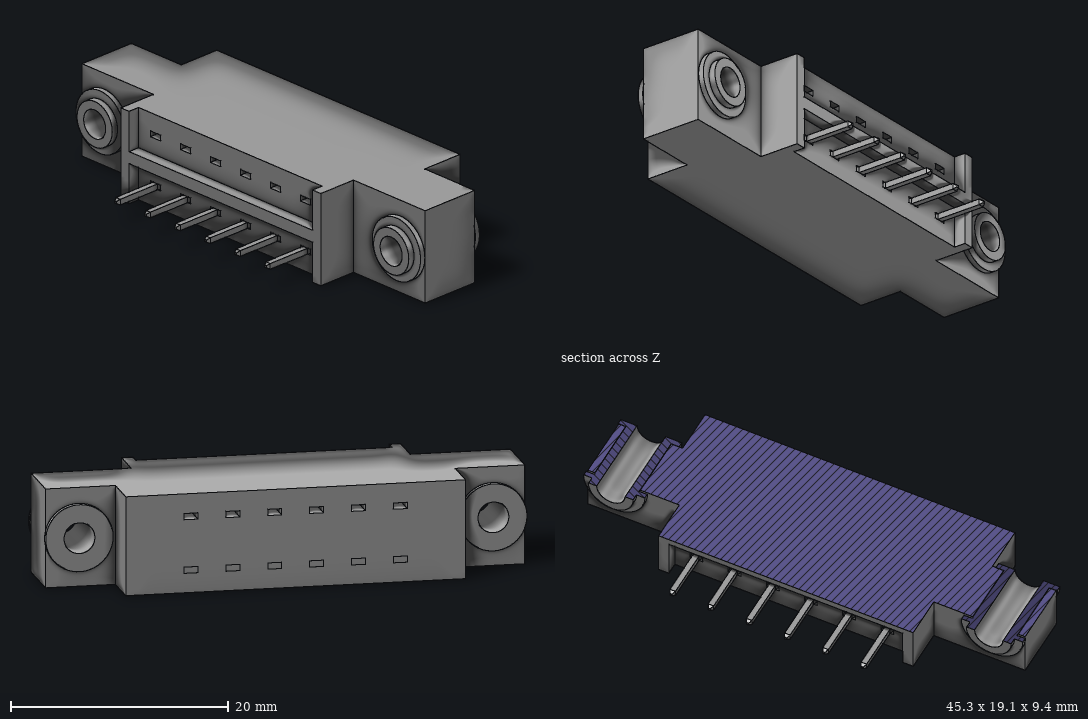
import cadquery as cq
import math


HEIGHT = 9.4
EAR_HALF_LENGTH = 22.55
MATING_HALF_LENGTH = 16.0
TAIL_HALF_LENGTH = 13.15
EAR_BACK_Y = -4.58
EAR_FRONT_Y = -10.95
FRONT_Y = -15.2

POCKET_HALF_LENGTH = 12.05
POCKET_DEPTH = 1.22
RIB_THICKNESS = 1.22

CONTACTS_PER_ROW = 6
CONTACT_PITCH = 3.95
ROW_OFFSET = 2.55
SLOT_WIDTH = 1.3
SLOT_HEIGHT = 0.6

TAIL_WIDTH = 0.6
TAIL_END_Y = -19.08
TIP_LENGTH = 0.3
TIP_CHAMFER = 0.2
SHOULDER_LENGTH = 0.9

BUSHING_RADIUS = 2.3
BORE_RADIUS = 1.45
FLANGE_RADIUS = 3.15
FLANGE_THICKNESS = 0.55
FLANGE_GAP = 0.15
BUSHING_FRONT_Y = -12.32
OVERALL_LENGTH = 45.3

POCKET_FLOOR_Y = FRONT_Y + POCKET_DEPTH
BUSHING_X = OVERALL_LENGTH / 2 - FLANGE_RADIUS
BUSHING_BACK_Y = EAR_BACK_Y + FLANGE_THICKNESS
FRONT_FLANGE_Y = EAR_FRONT_Y - FLANGE_GAP
CONTACT_XS = [(i - (CONTACTS_PER_ROW - 1) / 2) * CONTACT_PITCH for i in range(CONTACTS_PER_ROW)]


def block(half_length, y_back, y_front, z_bottom, z_top):
    """Box centred on X = 0."""
    size = (2 * half_length, y_back - y_front, z_top - z_bottom)
    return cq.Workplane("XY").box(*size, centered=(True, False, False)).translate((0, y_front, z_bottom))


def cylinder(x, radius, y_back, y_front):
    """Cylinder along Y at mid-height."""
    return (
        cq.Workplane("XZ", origin=(0, y_back, 0))
        .center(x, 0)
        .circle(radius)
        .extrude(y_back - y_front)
    )


def make_housing():
    half_height = HEIGHT / 2
    body = block(EAR_HALF_LENGTH, EAR_BACK_Y, EAR_FRONT_Y, -half_height, half_height)
    body = body.union(block(MATING_HALF_LENGTH, 0, EAR_BACK_Y, -half_height, half_height))
    body = body.union(block(TAIL_HALF_LENGTH, EAR_FRONT_Y, FRONT_Y, -half_height, half_height))

    half_rib = RIB_THICKNESS / 2
    body = body.cut(block(POCKET_HALF_LENGTH, POCKET_FLOOR_Y, FRONT_Y, half_rib, half_height))
    body = body.cut(block(POCKET_HALF_LENGTH, POCKET_FLOOR_Y, FRONT_Y, -half_height, -half_rib))

    slots = (
        cq.Workplane("XZ")
        .pushPoints([(x, z) for x in CONTACT_XS for z in (-ROW_OFFSET, ROW_OFFSET)])
        .rect(SLOT_WIDTH, SLOT_HEIGHT)
        .extrude(-POCKET_FLOOR_Y)
    )
    body = body.cut(slots)

    for x in (-BUSHING_X, BUSHING_X):
        body = body.cut(cylinder(x, BUSHING_RADIUS, EAR_BACK_Y, EAR_FRONT_Y))
    return body


def make_bushing(x):
    bushing = cylinder(x, BUSHING_RADIUS, BUSHING_BACK_Y, BUSHING_FRONT_Y)
    for flange_back_y in (BUSHING_BACK_Y, FRONT_FLANGE_Y):
        bushing = bushing.union(cylinder(x, FLANGE_RADIUS, flange_back_y, flange_back_y - FLANGE_THICKNESS))
    return bushing.cut(cylinder(x, BORE_RADIUS, BUSHING_BACK_Y, BUSHING_FRONT_Y))


def make_pin(x):
    """Wide blade filling its slot, tapering through a shoulder to a square tail with a chamfered tip."""
    half_blade = SLOT_WIDTH / 2
    half_tail = TAIL_WIDTH / 2
    shoulder_back_y = POCKET_FLOOR_Y + SHOULDER_LENGTH
    tip_y = TAIL_END_Y + TIP_LENGTH
    half_outline = [
        (half_blade, 0),
        (half_blade, shoulder_back_y),
        (half_tail, POCKET_FLOOR_Y),
        (half_tail, tip_y),
    ]
    outline = half_outline + [(-px, py) for px, py in reversed(half_outline)]
    pin = (
        cq.Workplane("XY", origin=(x, 0, -ROW_OFFSET - SLOT_HEIGHT / 2))
        .polyline(outline)
        .close()
        .extrude(SLOT_HEIGHT)
    )
    tip = (
        cq.Workplane("XZ", origin=(x, tip_y, -ROW_OFFSET))
        .rect(TAIL_WIDTH, SLOT_HEIGHT)
        .extrude(TIP_LENGTH, taper=math.degrees(math.atan2(TIP_CHAMFER, TIP_LENGTH)))
    )
    return pin.union(tip)


housing = make_housing()
bushings = [make_bushing(x) for x in (-BUSHING_X, BUSHING_X)]
pins = [make_pin(x) for x in CONTACT_XS]

result = cq.Compound.makeCompound([body.val() for body in [housing, *bushings, *pins]])